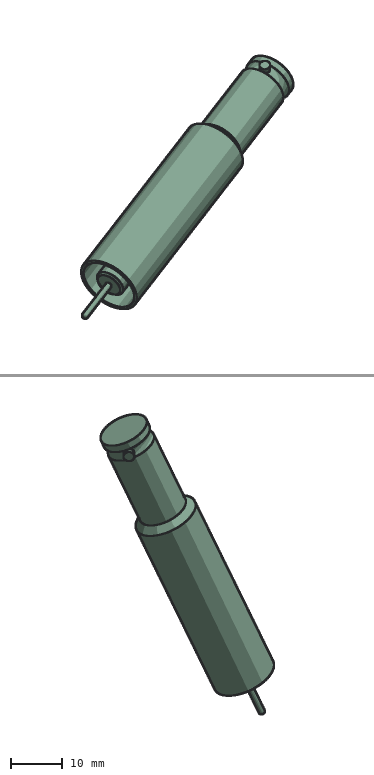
import cadquery as cq

total_length = 70.4
tip_y = -total_length / 2
end_y = total_length / 2

sleeve_radius = 6.3
sleeve_bore_radius = 5.7
sleeve_mouth_y = tip_y + 9.4
sleeve_shoulder_y = end_y - 21.25
bore_depth = 28.15

barrel_radius = 4.85
barrel_start_y = sleeve_shoulder_y + sleeve_radius - barrel_radius

groove_center_y = end_y - 2.7
groove_width = 2.1
groove_depth = 0.3
stud_radius = 1.05
stud_reach = 5.7

collar_radius = 5.35
collar_mouth_radius = 3.95
collar_length = 7.05
collar_rounding = (collar_radius - collar_mouth_radius) / 2
funnel_length = 4.2

plug_radius = 2.95
plug_chamfer = 0.4
pin_radius = 0.6
pin_tip_rounding = 0.5


def revolve_profile(profile):
    """Turn a closed radius/Y profile fully around the Y axis."""
    return profile.close().revolve(360, (0, 0, 0), (0, 1, 0))


def make_body():
    groove_start_y = groove_center_y - groove_width / 2
    groove_end_y = groove_center_y + groove_width / 2
    bore_floor_y = sleeve_mouth_y + bore_depth
    return revolve_profile(
        cq.Workplane("XY")
        .moveTo(0, bore_floor_y)
        .lineTo(sleeve_bore_radius, bore_floor_y)
        .lineTo(sleeve_bore_radius, sleeve_mouth_y)
        .lineTo(sleeve_radius, sleeve_mouth_y)
        .lineTo(sleeve_radius, sleeve_shoulder_y)
        .lineTo(barrel_radius, barrel_start_y)
        .lineTo(barrel_radius, groove_start_y)
        .threePointArc((barrel_radius - groove_depth, groove_center_y), (barrel_radius, groove_end_y))
        .lineTo(barrel_radius, end_y)
        .lineTo(0, end_y)
    )


def make_collar():
    base_y = sleeve_mouth_y + bore_depth
    crest_y = base_y - collar_length
    round_y = crest_y + collar_rounding
    return revolve_profile(
        cq.Workplane("XY")
        .moveTo(0, base_y)
        .lineTo(collar_radius, base_y)
        .lineTo(collar_radius, round_y)
        .threePointArc((collar_radius - collar_rounding, crest_y), (collar_mouth_radius, round_y))
        .lineTo(plug_radius, round_y + funnel_length)
        .lineTo(0, round_y + funnel_length)
    )


def make_plug_and_pin():
    base_y = sleeve_mouth_y + bore_depth
    return revolve_profile(
        cq.Workplane("XY")
        .moveTo(0, base_y)
        .lineTo(plug_radius, base_y)
        .lineTo(plug_radius, sleeve_mouth_y + plug_chamfer)
        .lineTo(plug_radius - plug_chamfer, sleeve_mouth_y)
        .lineTo(pin_radius, sleeve_mouth_y)
        .lineTo(pin_radius, tip_y + pin_tip_rounding)
        .radiusArc((pin_radius - pin_tip_rounding, tip_y), pin_tip_rounding)
        .lineTo(0, tip_y)
    )


def make_studs():
    return (
        cq.Workplane("XY", origin=(0, groove_center_y, 0))
        .circle(stud_radius)
        .extrude(stud_reach, both=True)
    )


result = make_body().union(make_collar()).union(make_plug_and_pin()).union(make_studs())